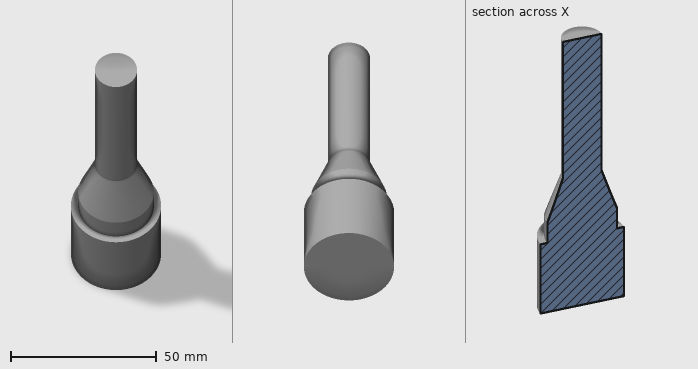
import cadquery as cq

base_diameter = 31.0
collar_diameter = 26.0
shank_diameter = 14.5

total_height = 107.5
base_height = 28.0
collar_height = 8.0
cone_height = 16.5

collar_bottom = base_height
cone_bottom = collar_bottom + collar_height
shank_bottom = cone_bottom + cone_height

base_radius = base_diameter / 2
collar_radius = collar_diameter / 2
shank_radius = shank_diameter / 2

half_profile = (
    cq.Workplane("XZ")
    .moveTo(0, 0)
    .lineTo(base_radius, 0)
    .lineTo(base_radius, collar_bottom)
    .lineTo(collar_radius, collar_bottom)
    .lineTo(collar_radius, cone_bottom)
    .lineTo(shank_radius, shank_bottom)
    .lineTo(shank_radius, total_height)
    .lineTo(0, total_height)
    .close()
)

result = half_profile.revolve(360, (0, 0), (0, 1))